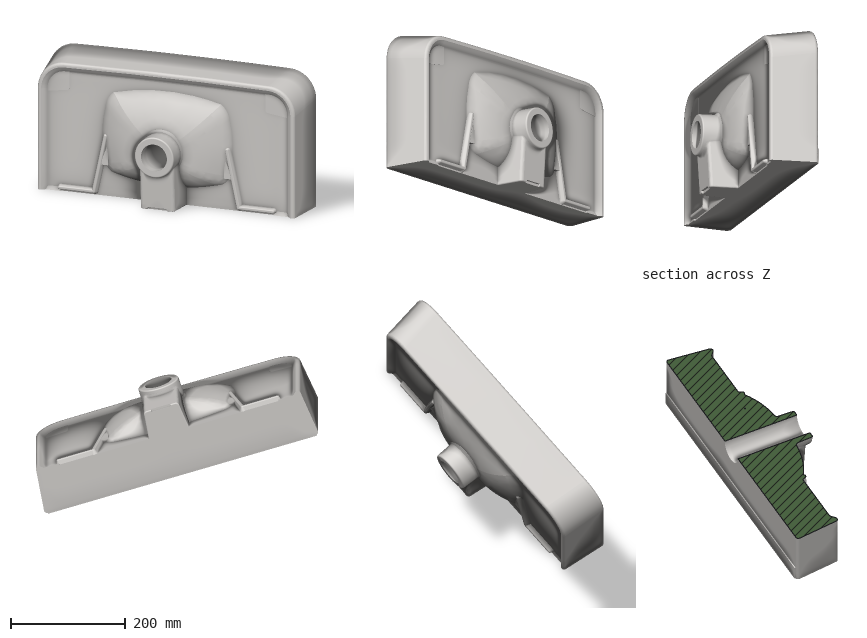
import cadquery as cq
import math


WIDTH = 499.98
LENGTH = 249.43
TOTAL_DEPTH = 144.06
DECK_RISE = 2.0
DECK_LENGTH = 26.0
DECK_INSET = 5.0
BACK_Y = -DECK_RISE
RIM_Y = -88.0
SIDE_DRAFT = 9.0
FRONT_DRAFT = 12.5
CORNER_RADIUS = 50.0
FRONT_CROWN = 2.0
BACK_ROUNDING = 5.0
RIM_ROUNDING = 5.0

RECESS = 8.5
PANEL_Y = RIM_Y + RECESS
RIM_WIDTH = 7.0
RIM_SLOPE = 10.0
RIM_FOOT_ROUNDING = 5.0

PAD_RISE = 0.8
PAD_INNER_X = 184.0
PAD_LOW_Z = 185.5
PAD_SIDE_DROP = 6.5
PAD_REACH = 47.0
PAD_ROUNDING = 5.0

BOWL_TOP = 203.5
BOWL_BOTTOM = 30.0
BOWL_MIDDLE_Z = 120.0
BOWL_HALF_WIDTH = 122.5
BOWL_FRONT_CORNER = [(101.0, 190.5), (110.0, 181.0), (116.5, 163.0)]
BOWL_WALL_CORNER = [(116.0, 62.0), (111.0, 51.0), (97.0, 43.0)]
BOWL_DEPTH = 31.0
BOWL_FULLNESS = 2.8
BOWL_SECTIONS = [1.0, 0.9, 0.75, 0.5, 0.28]
BOWL_DRIFT = 18.0

DRAIN_Z = 100.0
DRAIN_BORE = 48.67
OUTLET_ROOT_RADIUS = 37.6
OUTLET_END_RADIUS = 36.4
OUTLET_END_Y = -TOTAL_DEPTH
OUTLET_ROUNDING = 2.5
COLLAR_RADIUS = 41.5
COLLAR_Y = -112.0
COLLAR_FLARE = 4.0
JOINT_ROUNDING = 4.0

PLINTH_ROOT_HALF_WIDTH = 37.0
PLINTH_CREST_HALF_WIDTH = 31.5
PLINTH_WALL_Y = -129.0
PLINTH_LEAN = 6.5
PLINTH_ROUNDING = 6.0
PLINTH_FOOT_ROUNDING = 2.2
NOTCH_WIDTH = 36.0
NOTCH_HEIGHT = 4.5
NOTCH_DEPTH = 4.0

RIB_ROOT_WIDTH = 13.0
RIB_CREST_WIDTH = 5.0
RIB_ROUNDING = 2.0
RIB_CREST_Y = RIM_Y
BAR_Z = 7.5
RIB_FOOT = (-136.0, BAR_Z)
RIB_TIP = (-114.0, 110.0)
BAR_END_X = -200.0
BAR_ROOT_WIDTH = 10.0
BAR_CREST_WIDTH = 5.0
STRIP_HEIGHT = 7.0
STRIP_RISE = 3.0

WEB_HEIGHT = 7.0
WEB_BOWL_X = -109.0
WEB_RIB_X = -124.0
WEB_LOW_Z = 58.0
WEB_HIGH_Z = 97.0

SELECT_GAP = 0.1


def at_depth(y):
    """Workplane whose local axes are X and Z, lying at the given y."""
    return cq.Workplane("XZ", origin=(0, y, 0))


def solid_between(first, second):
    """Solid lofted between two closed wire outlines."""
    return cq.Workplane(cq.Solid.makeLoft([first.val(), second.val()], True))


def basin_outline(y, half_width, length, radius, low_z=0.0):
    """Outline with a flat wall edge, round front corners and a crowned front edge."""
    shoulder = length - FRONT_CROWN
    across = half_width - radius
    bend = radius * math.sqrt(0.5)
    return (
        at_depth(y)
        .moveTo(-half_width, low_z)
        .lineTo(-half_width, shoulder - radius)
        .threePointArc((-across - bend, shoulder - radius + bend), (-across, shoulder))
        .threePointArc((0, length), (across, shoulder))
        .threePointArc((across + bend, shoulder - radius + bend), (half_width, shoulder - radius))
        .lineTo(half_width, low_z)
        .close()
        .wire()
    )


def off_wall_edges(shape, y):
    """Edges at the given y, except the one lying in the wall face."""
    low = (-WIDTH, y - SELECT_GAP, SELECT_GAP)
    high = (WIDTH, y + SELECT_GAP, 2 * LENGTH)
    return shape.edges(cq.selectors.BoxSelector(low, high))


def rounding_loss(draft):
    """How far rounding the back edge pulls in the widest point of a wall with this draft."""
    lean = math.atan2(draft, BACK_Y - RIM_Y)
    return BACK_ROUNDING * (1 / math.cos(lean) + math.tan(lean) - 1)


def body():
    """Tapered block with rounded upper and rim edges."""
    back = basin_outline(
        BACK_Y,
        WIDTH / 2 + rounding_loss(SIDE_DRAFT),
        LENGTH + rounding_loss(FRONT_DRAFT),
        CORNER_RADIUS,
    )
    rim = basin_outline(RIM_Y, WIDTH / 2 - SIDE_DRAFT, LENGTH - FRONT_DRAFT, CORNER_RADIUS)
    shell = solid_between(back, rim)
    shell = off_wall_edges(shell, BACK_Y).fillet(BACK_ROUNDING)
    return off_wall_edges(shell, RIM_Y).fillet(RIM_ROUNDING)


def recess_outline(y, inset):
    """Rim outline moved inwards by the inset and run out past the wall face."""
    return basin_outline(
        y,
        WIDTH / 2 - SIDE_DRAFT - inset,
        LENGTH - FRONT_DRAFT - inset,
        CORNER_RADIUS - inset,
        -RIM_WIDTH,
    )


def recess():
    """Pocket inside the rim, with sloping walls and a rounded foot."""
    mouth = recess_outline(RIM_Y, RIM_WIDTH)
    floor = recess_outline(PANEL_Y, RIM_WIDTH + RIM_SLOPE)
    pocket = solid_between(mouth, floor)
    return off_wall_edges(pocket, PANEL_Y).fillet(RIM_FOOT_ROUNDING)


def deck():
    """Raised tap deck along the wall, rooted as deep as the back rounding."""
    root_y = BACK_Y - BACK_ROUNDING
    return cq.Workplane("XY", origin=(0, root_y, 0)).box(
        WIDTH - 2 * DECK_INSET, -root_y, DECK_LENGTH, centered=(True, False, False)
    )


def corner_pad():
    """Thin pad filling the left front corner of the recess."""
    high_z = PAD_LOW_Z + PAD_REACH
    outer_x = PAD_INNER_X + PAD_REACH
    corners = [
        (-PAD_INNER_X, high_z),
        (-PAD_INNER_X, PAD_LOW_Z),
        (-outer_x, PAD_LOW_Z - PAD_SIDE_DROP),
        (-outer_x, high_z),
    ]
    pad = at_depth(PANEL_Y + RECESS).polyline(corners).close().extrude(RECESS + PAD_RISE)
    free_corner = cq.selectors.NearestToPointSelector((-PAD_INNER_X, PANEL_Y, PAD_LOW_Z))
    pad = pad.edges("|Y").edges(free_corner).fillet(PAD_ROUNDING)
    limit = recess_outline(PANEL_Y + RECESS, RIM_WIDTH).toPending().extrude(2 * RECESS)
    return pad.intersect(limit)


def bowl_outline(size):
    """Rounded four-sided section of the bowl, `size` times the root section."""
    depth = BOWL_DEPTH * (1 - size ** BOWL_FULLNESS)
    drift = BOWL_DRIFT * size * (1 - size)

    def place(x, z):
        return (size * x, DRAIN_Z - drift + size * (z - DRAIN_Z))

    front_start, front_middle, front_end = BOWL_FRONT_CORNER
    wall_start, wall_middle, wall_end = BOWL_WALL_CORNER

    def right(point):
        return place(*point)

    def left(point):
        return place(-point[0], point[1])

    return (
        at_depth(PANEL_Y - depth)
        .moveTo(*left(front_start))
        .threePointArc(place(0, BOWL_TOP), right(front_start))
        .threePointArc(right(front_middle), right(front_end))
        .threePointArc(place(BOWL_HALF_WIDTH, BOWL_MIDDLE_Z), right(wall_start))
        .threePointArc(right(wall_middle), right(wall_end))
        .threePointArc(place(0, BOWL_BOTTOM), left(wall_end))
        .threePointArc(left(wall_middle), left(wall_start))
        .threePointArc(place(-BOWL_HALF_WIDTH, BOWL_MIDDLE_Z), left(front_end))
        .threePointArc(left(front_middle), left(front_start))
        .close()
        .wire()
    )


def bowl():
    """Dome lofted through shrinking sections."""
    sections = [bowl_outline(size).val() for size in BOWL_SECTIONS]
    return cq.Workplane(cq.Solid.makeLoft(sections, False))


def outlet():
    """Tapered drain spout with a rounded end and a flared collar at its root."""
    profile = (
        cq.Workplane("XY")
        .moveTo(0, PANEL_Y)
        .lineTo(COLLAR_RADIUS, PANEL_Y)
        .lineTo(COLLAR_RADIUS, COLLAR_Y + COLLAR_FLARE)
        .lineTo(OUTLET_ROOT_RADIUS, COLLAR_Y)
        .lineTo(OUTLET_END_RADIUS, OUTLET_END_Y)
        .lineTo(0, OUTLET_END_Y)
        .close()
    )
    spout = profile.revolve(360, (0, 0, 0), (0, 1, 0)).faces("<Y").edges().fillet(OUTLET_ROUNDING)
    return spout.translate((0, 0, DRAIN_Z))


def plinth():
    """Tapered block from the wall to the drain, leaning outwards and notched at the wall."""
    def section(z, crest_y):
        return (
            cq.Workplane("XY", origin=(0, 0, z))
            .moveTo(-PLINTH_ROOT_HALF_WIDTH, PANEL_Y)
            .lineTo(-PLINTH_CREST_HALF_WIDTH, crest_y)
            .lineTo(PLINTH_CREST_HALF_WIDTH, crest_y)
            .lineTo(PLINTH_ROOT_HALF_WIDTH, PANEL_Y)
            .close()
            .wire()
        )

    block = solid_between(section(0, PLINTH_WALL_Y), section(DRAIN_Z, PLINTH_WALL_Y - PLINTH_LEAN))
    for side in (-1, 1):
        crest = (side * PLINTH_CREST_HALF_WIDTH, PLINTH_WALL_Y - PLINTH_LEAN / 2, DRAIN_Z / 2)
        block = block.edges(cq.selectors.NearestToPointSelector(crest)).fillet(PLINTH_ROUNDING)
    low = (-WIDTH, OUTLET_END_Y, -SELECT_GAP)
    high = (WIDTH, PANEL_Y - SELECT_GAP, SELECT_GAP)
    block = block.edges(cq.selectors.BoxSelector(low, high)).fillet(PLINTH_FOOT_ROUNDING)
    notch = (
        cq.Workplane("XY", origin=(0, PLINTH_WALL_Y, 0))
        .box(NOTCH_WIDTH, 2 * NOTCH_DEPTH, 2 * NOTCH_HEIGHT)
    )
    return block.cut(notch)


def tapered_rib(start, end, root_width, crest_width):
    """Round-ended rib between two (x, z) points, narrowing from the panel to its crest."""
    run, rise = end[0] - start[0], end[1] - start[1]
    length = math.hypot(run, rise)
    angle = math.degrees(math.atan2(rise, run))
    centre = ((start[0] + end[0]) / 2, (start[1] + end[1]) / 2)

    def section(y, width):
        return at_depth(y).center(*centre).slot2D(length + width, width, angle).wire()

    rib = solid_between(section(PANEL_Y, root_width), section(RIB_CREST_Y, crest_width))
    return rib.faces("<Y").edges().fillet(RIB_ROUNDING)


def web():
    """Triangular fill between the left rib and the flank of the bowl."""
    corners = [(WEB_RIB_X, WEB_LOW_Z), (WEB_BOWL_X, WEB_LOW_Z), (WEB_BOWL_X, WEB_HIGH_Z)]
    return at_depth(PANEL_Y).polyline(corners).close().extrude(WEB_HEIGHT)


def strip():
    """Wedge along the wall edge that rises from the panel towards z = 0."""
    rim_x = -WIDTH / 2 + SIDE_DRAFT + RIM_WIDTH
    return (
        cq.Workplane("YZ", origin=(rim_x, 0, 0))
        .moveTo(PANEL_Y, 0)
        .lineTo(PANEL_Y, STRIP_HEIGHT)
        .lineTo(PANEL_Y - STRIP_RISE, 0)
        .close()
        .extrude(BAR_END_X - rim_x)
    )


def left_details():
    """Underside features of the left half; the right half mirrors them."""
    rib = tapered_rib(RIB_FOOT, RIB_TIP, RIB_ROOT_WIDTH, RIB_CREST_WIDTH)
    bar = tapered_rib((BAR_END_X, BAR_Z), RIB_FOOT, BAR_ROOT_WIDTH, BAR_CREST_WIDTH)
    return [rib, bar, web(), strip(), corner_pad()]


def drain_support():
    """Outlet and plinth joined, with a rounded joint where the spout leaves the plinth."""
    support = plinth().union(outlet())
    joint_y = PLINTH_WALL_Y - PLINTH_LEAN * (1 - OUTLET_END_RADIUS / DRAIN_Z)
    joint = cq.selectors.NearestToPointSelector((0, joint_y, DRAIN_Z - OUTLET_END_RADIUS))
    return support.edges(joint).fillet(JOINT_ROUNDING)


result = body().cut(recess()).union(deck()).union(bowl()).union(drain_support())
for detail in left_details():
    result = result.union(detail).union(detail.mirror("YZ"))
bore_length = TOTAL_DEPTH + DECK_RISE
bore = at_depth(DECK_RISE).center(0, DRAIN_Z).circle(DRAIN_BORE / 2).extrude(bore_length)
above_wall = cq.Workplane("XY").box(2 * WIDTH, 3 * TOTAL_DEPTH, 2 * LENGTH, centered=(True, True, False))
result = result.intersect(above_wall).cut(bore)